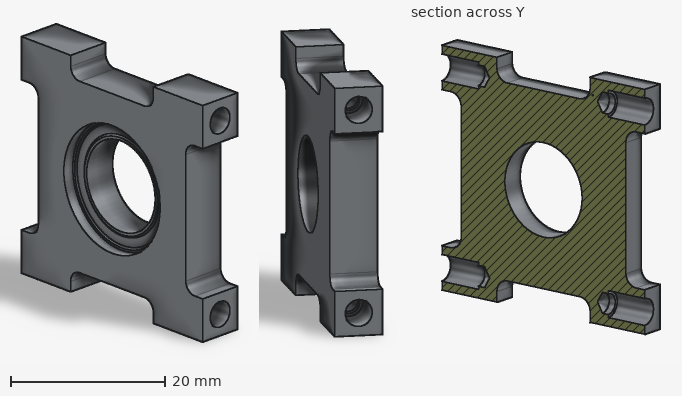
import cadquery as cq

width = 33.53
thickness = 6.35
height = 33.03
front_y = -thickness / 2

lug_width = 9.12
lug_height = 6.05
side_notch_depth = 3.12
end_notch_depth = 3.15
notch_radius = 1.65

bore_radius = 6.35
seat_radius = 8.92
seat_depth = 1.6
relief_depth = 0.2
relief_outer_radius = 8.6
relief_inner_radius = 6.75
relief_slope_width = 0.27

drill_radius = 1.37
hole_depth = 7.0
drill_tip_depth = 0.8
thread_radius = 1.78
thread_depth = 6.0
hole_z = (height - lug_height) / 2


def make_plate():
    plate = cq.Workplane("XY").box(width, thickness, height)
    side_notch_height = height - 2 * lug_height
    end_notch_width = width - 2 * lug_width
    for side in (-1, 1):
        side_cutter = (
            cq.Workplane("XY")
            .box(2 * side_notch_depth, thickness, side_notch_height)
            .edges("|Y").fillet(notch_radius)
            .translate((side * width / 2, 0, 0))
        )
        end_cutter = (
            cq.Workplane("XY")
            .box(end_notch_width, thickness, 2 * end_notch_depth)
            .edges("|Y").fillet(notch_radius)
            .translate((0, 0, side * height / 2))
        )
        plate = plate.cut(side_cutter).cut(end_cutter)
    return plate


def make_seat_cutter():
    """Revolved profile of the bore, seat and sloped-wall relief groove."""
    seat_y = front_y + seat_depth
    relief_y = seat_y + relief_depth
    return (
        cq.Workplane("XY")
        .moveTo(0, front_y)
        .lineTo(seat_radius, front_y)
        .lineTo(seat_radius, seat_y)
        .lineTo(relief_outer_radius, seat_y)
        .lineTo(relief_outer_radius - relief_slope_width, relief_y)
        .lineTo(relief_inner_radius + relief_slope_width, relief_y)
        .lineTo(relief_inner_radius, seat_y)
        .lineTo(bore_radius, seat_y)
        .lineTo(bore_radius, thickness / 2)
        .lineTo(0, thickness / 2)
        .close()
        .revolve(360, (0, 0, 0), (0, 1, 0))
    )


def make_lug_hole_cutter():
    """Stepped hole running along +X from the origin to a conical tip."""
    return (
        cq.Workplane("XY")
        .moveTo(0, 0)
        .lineTo(0, thread_radius)
        .lineTo(thread_depth, thread_radius)
        .lineTo(thread_depth, drill_radius)
        .lineTo(hole_depth, drill_radius)
        .lineTo(hole_depth + drill_tip_depth, 0)
        .close()
        .revolve(360, (0, 0, 0), (1, 0, 0))
    )


result = make_plate().cut(make_seat_cutter())
left_hole = make_lug_hole_cutter().translate((-width / 2, 0, 0))
right_hole = left_hole.mirror("YZ")
for z in (-hole_z, hole_z):
    result = result.cut(left_hole.translate((0, 0, z)))
    result = result.cut(right_hole.translate((0, 0, z)))